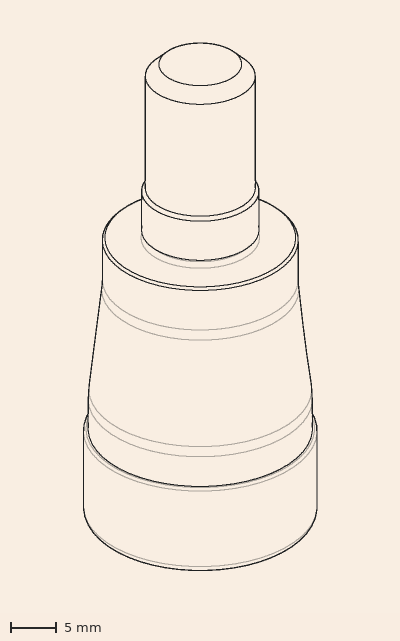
import cadquery as cq
import math

cap_radius = 12.7
cap_height = 10.8
cap_top_round = 0.3
cap_bottom_round = 0.9

total_height = 57.0
shoulder_z = 35.0
body_wide_radius = 12.2
body_narrow_radius = 10.65
shoulder_chamfer = 0.3
taper_bottom_z = 15.15
taper_top_z = 29.05
blend_length = 0.6

neck_radius = 5.9
neck_fillet = 0.5
collar_radius = 6.4
collar_bottom_z = 35.95
collar_top_z = 41.3
shank_radius = 6.0
collar_step = collar_radius - shank_radius
tip_chamfer = 1.5


def make_cap():
    """Plain disc, rounded at both rims."""
    cap = cq.Workplane("XY").circle(cap_radius).extrude(cap_height)
    cap = cap.faces(">Z").edges().fillet(cap_top_round)
    return cap.faces("<Z").edges().fillet(cap_bottom_round)


def make_spindle():
    """Body and stud revolved as one profile, drawn in radius and height."""
    taper_angle = math.atan2(body_wide_radius - body_narrow_radius, taper_top_z - taper_bottom_z)
    blend_in = blend_length * math.sin(taper_angle)
    blend_up = blend_length * math.cos(taper_angle)
    neck_bottom_z = shoulder_z + neck_fillet

    profile = (
        cq.Workplane("XZ")
        .moveTo(0, cap_height)
        .lineTo(body_wide_radius, cap_height)
        .lineTo(body_wide_radius, taper_bottom_z - blend_length)
        .tangentArcPoint((body_wide_radius - blend_in, taper_bottom_z + blend_up), relative=False)
        .lineTo(body_narrow_radius + blend_in, taper_top_z - blend_up)
        .tangentArcPoint((body_narrow_radius, taper_top_z + blend_length), relative=False)
        .lineTo(body_narrow_radius, shoulder_z - shoulder_chamfer)
        .lineTo(body_narrow_radius - shoulder_chamfer, shoulder_z)
        .lineTo(neck_radius + neck_fillet, shoulder_z)
        .tangentArcPoint((neck_radius, neck_bottom_z), relative=False)
        .lineTo(neck_radius, collar_bottom_z)
        .lineTo(collar_radius, collar_bottom_z)
        .lineTo(collar_radius, collar_top_z - collar_step)
        .lineTo(shank_radius, collar_top_z)
        .lineTo(shank_radius, total_height - tip_chamfer)
        .lineTo(shank_radius - tip_chamfer, total_height)
        .lineTo(0, total_height)
        .close()
    )
    return profile.revolve(axisStart=(0, 0, 0), axisEnd=(0, 1, 0))


cap = make_cap()
spindle = make_spindle()

result = cq.Compound.makeCompound([cap.val(), spindle.val()])